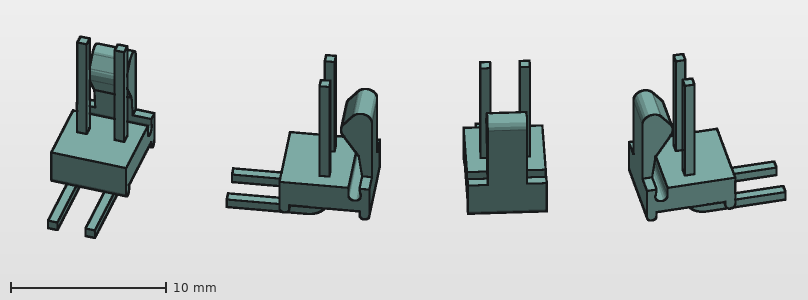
import cadquery as cq
import math


PITCH = 2.54
PIN_COUNT = 2
TOTAL_DEPTH = 9.4
TOTAL_HEIGHT = 10.79

HOUSING_WIDTH = PIN_COUNT * PITCH
HOUSING_DEPTH = 5.84
HOUSING_TOP = 2.54
HOUSING_UNDERSIDE = 0.635
FOOT_DEPTH = 0.635
FOOT_RADIUS = FOOT_DEPTH / 2

SLOT_FRONT = 1.36
SLOT_RADIUS = 0.4
SLOT_FLOOR = 1.51
SLOT_CENTER = (SLOT_FRONT - SLOT_RADIUS, SLOT_FLOOR + SLOT_RADIUS)

LATCH_WIDTH = 2.54
LATCH_TOP = 7.76
TIP_RADIUS = 0.7
TIP_CENTER = (TIP_RADIUS, LATCH_TOP - TIP_RADIUS)
NOSE_RADIUS = 0.78
NOSE_REACH = 2.02
NOSE_HEIGHT = 6.25
NOSE_CENTER = (NOSE_REACH - NOSE_RADIUS, NOSE_HEIGHT)
NECK = (0.855, 4.17)

PIN_SIZE = 0.64
PIN_DEPTH = 3.05
PIN_BOTTOM = -0.75
PIN_TOP = PIN_BOTTOM + TOTAL_HEIGHT
BEND_INNER_RADIUS = 0.8
BEND_OUTER_RADIUS = BEND_INNER_RADIUS + PIN_SIZE
MID_BEND_ANGLE = math.radians(225)


def point_on_circle(center, radius, angle):
    return (center[0] + radius * math.cos(angle), center[1] + radius * math.sin(angle))


def tangent_line(start_center, start_radius, end_center, end_radius):
    """Ends of the line touching two circles on the left of the way from the first to the second."""
    dx = end_center[0] - start_center[0]
    dy = end_center[1] - start_center[1]
    distance = math.hypot(dx, dy)
    normal_angle = math.atan2(dy, dx) + math.acos((start_radius - end_radius) / distance)
    return (
        point_on_circle(start_center, start_radius, normal_angle),
        point_on_circle(end_center, end_radius, normal_angle),
    )


def profile_plane(x):
    """Sketch plane at the given X, with depth toward -Y and height toward +Z."""
    return cq.Workplane(cq.Plane(origin=(x, 0, 0), xDir=(0, -1, 0), normal=(-1, 0, 0)))


SLOT_TANGENT = tangent_line(SLOT_CENTER, SLOT_RADIUS, NECK, 0)[0]


def depth_on_post(height):
    """Depth of the sloping post front at the given height."""
    slope = (NECK[0] - SLOT_TANGENT[0]) / (NECK[1] - SLOT_TANGENT[1])
    return SLOT_TANGENT[0] + slope * (height - SLOT_TANGENT[1])


def make_housing():
    rear_foot_middle = (FOOT_RADIUS, 0)
    front_foot_middle = (HOUSING_DEPTH - FOOT_RADIUS, 0)
    front_foot_back = HOUSING_DEPTH - FOOT_DEPTH
    slot_bottom = (SLOT_CENTER[0], SLOT_FLOOR)
    return (
        profile_plane(0)
        .moveTo(0, HOUSING_TOP)
        .lineTo(0, FOOT_RADIUS)
        .threePointArc(rear_foot_middle, (FOOT_DEPTH, FOOT_RADIUS))
        .lineTo(FOOT_DEPTH, HOUSING_UNDERSIDE)
        .lineTo(front_foot_back, HOUSING_UNDERSIDE)
        .lineTo(front_foot_back, FOOT_RADIUS)
        .threePointArc(front_foot_middle, (HOUSING_DEPTH, FOOT_RADIUS))
        .lineTo(HOUSING_DEPTH, HOUSING_TOP)
        .lineTo(SLOT_FRONT, HOUSING_TOP)
        .lineTo(SLOT_FRONT, SLOT_CENTER[1])
        .threePointArc(slot_bottom, SLOT_TANGENT)
        .lineTo(depth_on_post(HOUSING_TOP), HOUSING_TOP)
        .close()
        .extrude(HOUSING_WIDTH / 2, both=True)
    )


def make_latch():
    ramp_start, ramp_end = tangent_line(TIP_CENTER, TIP_RADIUS, NOSE_CENTER, NOSE_RADIUS)
    catch_start, catch_end = tangent_line(NOSE_CENTER, NOSE_RADIUS, NECK, 0)
    return (
        profile_plane(0)
        .moveTo(0, SLOT_TANGENT[1])
        .lineTo(0, TIP_CENTER[1])
        .threePointArc((TIP_CENTER[0], LATCH_TOP), ramp_start)
        .lineTo(*ramp_end)
        .threePointArc((NOSE_REACH, NOSE_HEIGHT), catch_start)
        .lineTo(*catch_end)
        .lineTo(*SLOT_TANGENT)
        .close()
        .extrude(LATCH_WIDTH / 2, both=True)
    )


def make_pin(x):
    back = PIN_DEPTH - PIN_SIZE / 2
    front = back + PIN_SIZE
    bend_center = (back + BEND_OUTER_RADIUS, PIN_BOTTOM + BEND_OUTER_RADIUS)
    return (
        profile_plane(x)
        .moveTo(back, PIN_TOP)
        .lineTo(back, bend_center[1])
        .threePointArc(
            point_on_circle(bend_center, BEND_OUTER_RADIUS, MID_BEND_ANGLE),
            (bend_center[0], PIN_BOTTOM),
        )
        .lineTo(TOTAL_DEPTH, PIN_BOTTOM)
        .lineTo(TOTAL_DEPTH, PIN_BOTTOM + PIN_SIZE)
        .lineTo(bend_center[0], PIN_BOTTOM + PIN_SIZE)
        .threePointArc(
            point_on_circle(bend_center, BEND_INNER_RADIUS, MID_BEND_ANGLE),
            (front, bend_center[1]),
        )
        .lineTo(front, PIN_TOP)
        .close()
        .extrude(PIN_SIZE / 2, both=True)
    )


result = make_housing().union(make_latch())
for index in range(PIN_COUNT):
    pin_x = (index - (PIN_COUNT - 1) / 2) * PITCH
    result = result.union(make_pin(pin_x))